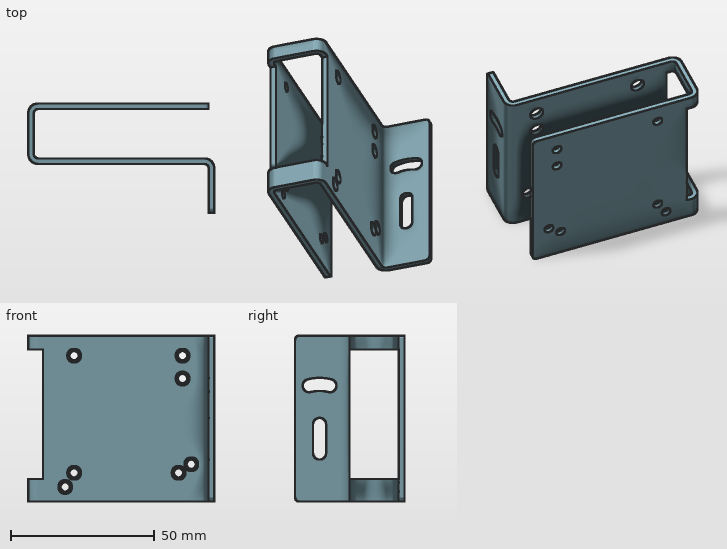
import cadquery as cq
import math

length = 65.0
depth = 38.2
height = 58.0

thickness = 2.0
inner_bend = 1.5
corner_radius = 1.5
channel_depth = 21.2
front_face = depth - channel_depth
back_plate_end = length - thickness

window_edge = 5.15
top_bridge = 4.95
bottom_bridge = 8.0

access_diameter = 4.8
mount_diameter = 3.25
hole_places = [
    (16.05, 50.95),
    (53.9, 50.95),
    (53.9, 42.95),
    (16.05, 10.1),
    (12.95, 5.15),
    (52.5, 10.1),
    (56.95, 13.05),
]

slot_width = 4.5
slot_y = 8.6
straight_span = 10.0
pivot_z = 27.0
swing_radius = 14.0
swing_half_angle = math.radians(15)


def bent_sheet():
    """Back plate, left web, front plate and right flange as one bent strip."""
    half = thickness / 2
    middle_bend = inner_bend + half
    left = half
    right = length - half
    back = depth - half
    front = front_face + half
    bend_offset = middle_bend * (1 - math.sqrt(0.5))
    centerline = (
        cq.Workplane("XY")
        .moveTo(back_plate_end, back)
        .lineTo(left + middle_bend, back)
        .threePointArc((left + bend_offset, back - bend_offset), (left, back - middle_bend))
        .lineTo(left, front + middle_bend)
        .threePointArc((left + bend_offset, front + bend_offset), (left + middle_bend, front))
        .lineTo(right - middle_bend, front)
        .threePointArc((right - bend_offset, front - bend_offset), (right, front - middle_bend))
        .lineTo(right, 0)
    )
    section = cq.Workplane("YZ", origin=(back_plate_end, back, height / 2)).rect(thickness, height)
    return section.sweep(centerline)


def web_window():
    """Cutter that opens the left web and trims both plates beside it."""
    opening = height - top_bridge - bottom_bridge
    cutter = cq.Workplane("XY").box(window_edge, channel_depth, opening, centered=False)
    return cutter.translate((0, front_face, bottom_bridge))


def plate_holes(diameter, y_start):
    """Hole cutters through one plate whose front surface is at y_start."""
    plane = cq.Workplane("XZ", origin=(0, y_start, 0))
    return plane.pushPoints(hole_places).circle(diameter / 2).extrude(-thickness)


def straight_slot():
    """Upright slot cutter through the flange."""
    plane = cq.Workplane("YZ", origin=(back_plate_end, slot_y, pivot_z - straight_span / 2))
    return plane.slot2D(straight_span + slot_width, slot_width, 90).extrude(thickness)


def curved_slot():
    """Arc-shaped slot cutter through the flange."""
    def swing_point(radius, angle):
        return (radius * math.sin(angle), radius * math.cos(angle))

    outer = swing_radius + slot_width / 2
    inner = swing_radius - slot_width / 2
    angle = swing_half_angle
    cap_angle = math.pi / 2 + angle
    end_y, end_z = swing_point(swing_radius, angle)
    cap_y, cap_z = swing_point(slot_width / 2, cap_angle)
    return (
        cq.Workplane("YZ", origin=(back_plate_end, slot_y, pivot_z))
        .moveTo(*swing_point(outer, -angle))
        .threePointArc((0, outer), swing_point(outer, angle))
        .threePointArc((end_y + cap_y, end_z + cap_z), swing_point(inner, angle))
        .threePointArc((0, inner), swing_point(inner, -angle))
        .threePointArc((-end_y - cap_y, end_z + cap_z), swing_point(outer, -angle))
        .close()
        .extrude(thickness)
    )


body = bent_sheet()

body = body.faces("<Y").edges("|X").fillet(corner_radius)
back_plate_corners = cq.selectors.BoxSelector(
    (back_plate_end - thickness, depth - thickness, -thickness),
    (back_plate_end + thickness, depth, height + thickness),
)
body = body.edges(back_plate_corners).edges("|Y").fillet(corner_radius)

result = (
    body.cut(web_window())
    .cut(plate_holes(access_diameter, front_face))
    .cut(plate_holes(mount_diameter, depth - thickness))
    .cut(straight_slot())
    .cut(curved_slot())
)